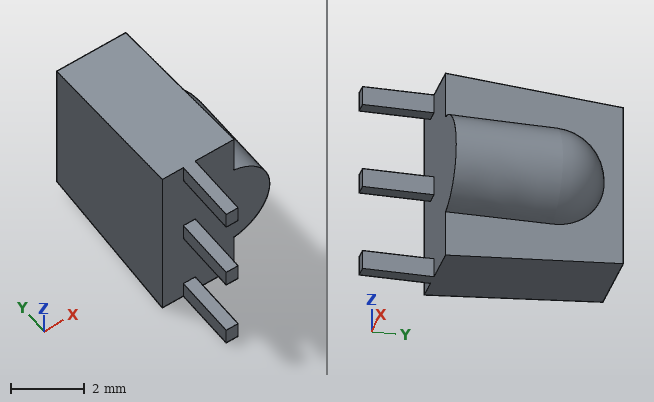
import cadquery as cq
import math

total_length = 7.0
lead_length = 2.0
body_length = total_length - lead_length
body_thickness = 2.4
body_height = 5.6
back_height = 4.8
draft_angle = 0.5

lens_radius = 1.5
lens_axis_x = 2.1
lens_barrel_length = 3.0

lead_thickness = 0.4
lead_height = 0.55
lead_center_x = 0.9

draft_slope = math.tan(math.radians(draft_angle))


def make_body():
    """Block that narrows from the lead face (Y = 0) toward the back."""
    center_x = body_thickness / 2
    back_thickness = body_thickness - 2 * body_length * draft_slope
    return (
        cq.Workplane("XZ", origin=(center_x, 0, 0))
        .rect(body_thickness, body_height)
        .workplane(offset=-body_length)
        .rect(back_thickness, back_height)
        .loft(ruled=True)
    )


def make_lens():
    """Drafted barrel along Y closed by a spherical dome."""
    dome_radius = lens_radius - lens_barrel_length * draft_slope
    dome_mid = dome_radius * math.sqrt(0.5)
    return (
        cq.Workplane("XY", origin=(lens_axis_x, 0, 0))
        .lineTo(lens_radius, 0)
        .lineTo(dome_radius, lens_barrel_length)
        .threePointArc(
            (dome_mid, lens_barrel_length + dome_mid),
            (0, lens_barrel_length + dome_radius),
        )
        .close()
        .revolve(360, (0, 0, 0), (0, 1, 0))
    )


def make_leads():
    """Three leads: one central, the outer two flush with the body ends."""
    pitch = (body_height - lead_height) / 2
    return (
        cq.Workplane("XZ", origin=(lead_center_x, 0, 0))
        .pushPoints([(0, step * pitch) for step in (-1, 0, 1)])
        .rect(lead_thickness, lead_height)
        .extrude(lead_length)
    )


result = make_body().union(make_lens()).union(make_leads())